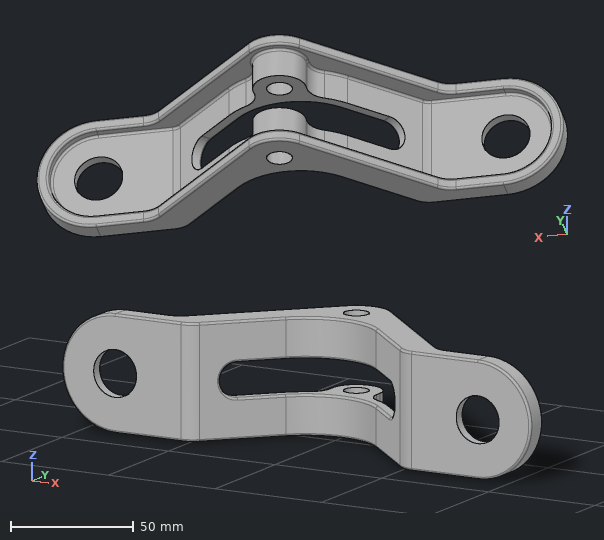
import cadquery as cq
import math


length = 220.0
width = 50.0
flange_thickness = 10.0
leg_thickness = 15.0
wall = 5.0
edge_radius = 1.0

pin_y = 50.0
pin_diameter = 10.5
boss_radius = 11.0
boss_root_radius = 10.0

apex_radius = 15.0
crown_radius = 30.0
bend_radius = 10.0

slot_width = 15.0
slot_end_x = 41.0
slot_length = 132.0
slot_depth = 30.8

mount_hole_diameter = 20.0
mount_hole_x = (length - width) / 2

outer_peak = pin_y + apex_radius * math.sqrt(2)
front_peak = outer_peak - leg_thickness * math.sqrt(2)
web_peak = front_peak + wall * math.sqrt(2)

crown_center_y = front_peak - crown_radius * math.sqrt(2)
crown_y = crown_center_y + crown_radius

leg_x = 30.8
flange_x = 74.8

hollow_length = length - 2 * wall
hollow_width = width - 2 * wall


def round_upright_edges(body, x, y, radius):
    """Round the edges along Z that stand at (x, y) and (-x, y)."""
    reach = 0.2
    for edge_x in {x, -x}:
        box = cq.selectors.BoxSelector(
            (edge_x - reach, y - reach, -width),
            (edge_x + reach, y + reach, width),
        )
        body = body.edges(box).fillet(radius)
    return body


def round_edge_chain(body, x, y, z):
    """Round the edge nearest to a point, and all edges that run smoothly on from it."""
    return body.edges(cq.selectors.NearestToPointSelector((x, y, z))).fillet(edge_radius)


def bent_plate(foot_thickness, back_peak, back_apex_radius, back_bend_radius):
    """Flanges and legs in one bent plate with square ends, centred on Z = 0."""
    back_foot_x = back_peak - foot_thickness
    plate = (
        cq.Workplane("XY")
        .moveTo(-length / 2, 0)
        .lineTo(-front_peak, 0)
        .lineTo(0, front_peak)
        .lineTo(front_peak, 0)
        .lineTo(length / 2, 0)
        .lineTo(length / 2, foot_thickness)
        .lineTo(back_foot_x, foot_thickness)
        .lineTo(0, back_peak)
        .lineTo(-back_foot_x, foot_thickness)
        .lineTo(-length / 2, foot_thickness)
        .close()
        .extrude(width / 2, both=True)
    )
    plate = round_upright_edges(plate, 0, back_peak, back_apex_radius)
    plate = round_upright_edges(plate, 0, front_peak, crown_radius)
    plate = round_upright_edges(plate, front_peak, 0, bend_radius)
    return round_upright_edges(plate, back_foot_x, foot_thickness, back_bend_radius)


def outline(outline_length, outline_width):
    """Round-ended block that trims a plate to its front outline."""
    return (
        cq.Workplane("XZ")
        .slot2D(outline_length, outline_width)
        .extrude(length, both=True)
    )


def make_rim():
    """Wall around the whole outline, with its two back edges rounded."""
    rim = bent_plate(flange_thickness, outer_peak, apex_radius, bend_radius)
    rim = rim.intersect(outline(length, width)).cut(outline(hollow_length, hollow_width))
    for z in (width / 2, hollow_width / 2):
        rim = round_edge_chain(rim, flange_x, flange_thickness, z)
    return rim


def make_web():
    """Thin plate that closes the front, carrying the pin boss."""
    web = bent_plate(wall, web_peak, crown_radius + wall, bend_radius - wall)
    web = web.intersect(outline(hollow_length, hollow_width))
    neck = (
        cq.Workplane("XY")
        .center(0, (pin_y + crown_y) / 2)
        .rect(2 * boss_radius, pin_y - crown_y)
        .extrude(hollow_width / 2, both=True)
    )
    head = (
        cq.Workplane("XY")
        .center(0, pin_y)
        .circle(boss_radius)
        .extrude(hollow_width / 2, both=True)
    )
    root_y = crown_center_y + math.sqrt((crown_radius + wall) ** 2 - boss_radius ** 2)
    return round_upright_edges(web.union(neck).union(head), boss_radius, root_y, boss_root_radius)


def leg_slot(side):
    """Round-ended slot square to one leg, running up past the apex."""
    up_leg = cq.Vector(-side, 1, 0).normalized()
    end = cq.Vector(side * slot_end_x, front_peak - slot_end_x, 0)
    plane = cq.Plane(
        origin=end + up_leg * (slot_length / 2),
        xDir=up_leg,
        normal=(side, 1, 0),
    )
    return cq.Workplane(plane).slot2D(slot_length, slot_width).extrude(slot_depth / 2, both=True)


result = make_rim().union(make_web())
result = round_edge_chain(result, leg_x, web_peak - leg_x, hollow_width / 2)
result = round_edge_chain(result, flange_x, 0, width / 2)

for side in (-1, 1):
    result = result.cut(leg_slot(side))
result = round_edge_chain(result, leg_x, front_peak - leg_x, slot_width / 2)

pin_hole = cq.Workplane("XY").center(0, pin_y).circle(pin_diameter / 2).extrude(width, both=True)
result = result.cut(pin_hole)

mount_holes = (
    cq.Workplane("XZ")
    .pushPoints([(-mount_hole_x, 0), (mount_hole_x, 0)])
    .circle(mount_hole_diameter / 2)
    .extrude(length, both=True)
)
result = result.cut(mount_holes).solids()